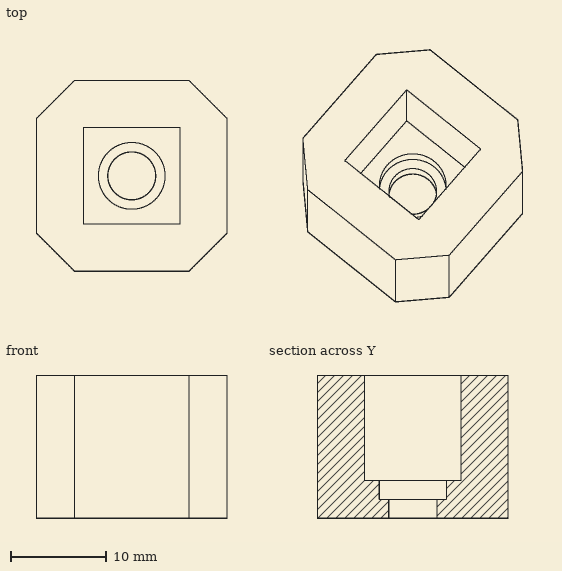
import cadquery as cq

width = 20.0
height = 15.0
corner_bevel = 4.0

socket_side = 10.1
socket_depth = 11.0

through_diameter = 5.0
counterbore_diameter = 7.0
floor_thickness = height - socket_depth
counterbore_depth = floor_thickness / 2


def make_block():
    block = cq.Workplane("XY").rect(width, width).extrude(height)
    return block.edges("|Z").chamfer(corner_bevel)


def cut_socket(body):
    return body.faces(">Z").workplane().rect(socket_side, socket_side).cutBlind(-socket_depth)


def cut_stepped_hole(body):
    socket_floor = cq.Workplane("XY").workplane(offset=floor_thickness)
    through_hole = socket_floor.circle(through_diameter / 2).extrude(-floor_thickness)
    counterbore = socket_floor.circle(counterbore_diameter / 2).extrude(-counterbore_depth)
    return body.cut(through_hole).cut(counterbore)


result = cut_stepped_hole(cut_socket(make_block()))